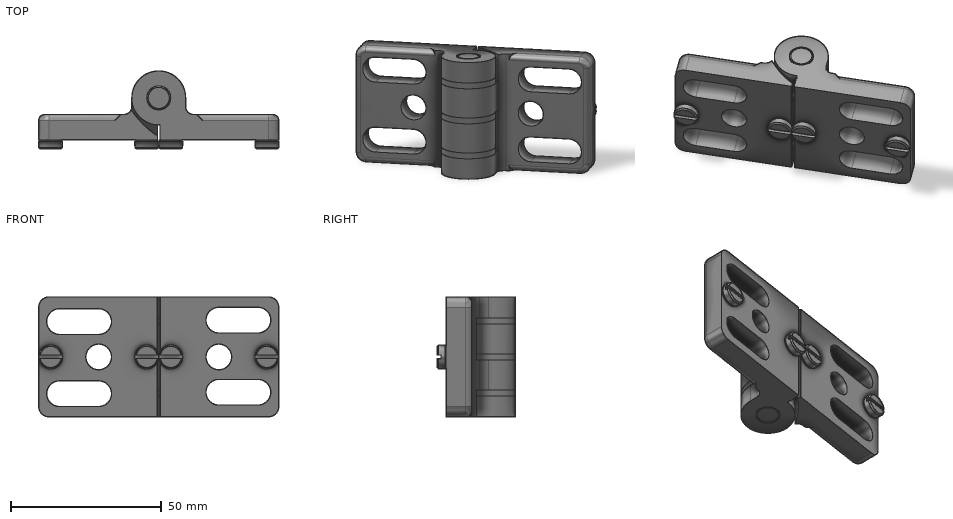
import cadquery as cq
import math

half_length = 40
height = 40
overall_depth = 26.0
leaf_thickness = 8.5
leaf_gap = 0.8
inner_x = -leaf_gap / 2
inner_edge_break = 0.2
corner_radius = 3.5
back_edge_radius = 2.0
rounding_end_x = -12.6

axis_y = 14.0
knuckle_diameter = 18.0
knuckle_radius = knuckle_diameter / 2
knuckle_length = 10.0
washer_thickness = 2.0
root_radius = 2.6
pin_diameter = 8
pin_chamfer = 0.5

mid_washer_top = washer_thickness / 2
outer_washer_bottom = mid_washer_top + knuckle_length
outer_washer_top = outer_washer_bottom + washer_thickness
left_knuckle_spans = [(mid_washer_top, outer_washer_bottom), (-height / 2, -outer_washer_top)]
left_recess_spans = [(outer_washer_bottom, height / 2), (-outer_washer_top, mid_washer_top)]

recess_start = (-9.6, 10.6)
recess_middle = (-4.6, 4.6)
recess_end = (inner_x, 1.3)

hole_diameter = 8.5
hole_x = -20
slot_travel = 13.0
slot_z = 12
slot_shift_z = -0.2

screw_diameter = 8
screw_neck_diameter = 7.5
screw_neck_height = 0.5
screw_height = overall_depth - axis_y - knuckle_radius
screw_chamfer = 0.5
screw_slot_width = 1.2
screw_slot_depth = 1.2
screw_inset = screw_diameter / 2


def extrude_span(sketch, bottom, top):
    """Extrude an outline drawn in XY from Z = bottom to Z = top."""
    return sketch.extrude(top - bottom).translate((0, 0, bottom))


def disc(diameter, bottom, top):
    """Cylinder on the hinge axis."""
    return extrude_span(cq.Workplane("XY").center(0, axis_y).circle(diameter / 2), bottom, top)


def make_plate():
    """Left plate with rounded outer corners and rounded back edges."""
    plate = (
        cq.Workplane("XY")
        .box(half_length + inner_x, leaf_thickness, height, centered=(False, False, True))
        .translate((-half_length, 0, 0))
        .edges("|Y and <X").fillet(corner_radius)
        .faces(">Y").edges("not >X").fillet(back_edge_radius)
    )
    square_part = (
        cq.Workplane("XY")
        .moveTo(inner_x, 0)
        .lineTo(inner_x, leaf_thickness)
        .lineTo(rounding_end_x, leaf_thickness)
        .lineTo(rounding_end_x - back_edge_radius, leaf_thickness - back_edge_radius)
        .lineTo(rounding_end_x - back_edge_radius, 0)
        .close()
    )
    return plate.union(extrude_span(square_part, -height / 2, height / 2))


def make_root():
    """Full-height web that blends the back of the plate into the knuckles."""
    blend_offset = root_radius * (1 - math.sqrt(0.5))
    blend_middle = (-knuckle_radius - blend_offset, leaf_thickness + blend_offset)
    outline = (
        cq.Workplane("XY")
        .moveTo(inner_x, 0)
        .lineTo(inner_x, axis_y)
        .lineTo(-knuckle_radius, axis_y)
        .lineTo(-knuckle_radius, leaf_thickness + root_radius)
        .threePointArc(blend_middle, (-knuckle_radius - root_radius, leaf_thickness))
        .lineTo(-knuckle_radius - root_radius, 0)
        .close()
    )
    return extrude_span(outline, -height / 2, height / 2)


def make_recess(bottom, top):
    """Space cleared for one of the other leaf's knuckles and its washers."""
    far_x = knuckle_radius
    far_y = axis_y + knuckle_radius
    outline = (
        cq.Workplane("XY")
        .moveTo(*recess_start)
        .threePointArc(recess_middle, recess_end)
        .lineTo(far_x, recess_end[1])
        .lineTo(far_x, far_y)
        .lineTo(recess_start[0], far_y)
        .close()
    )
    return extrude_span(outline, bottom, top)


def make_leaf():
    """Left hinge leaf: plate, root, two knuckles, pin bore, hole and slots."""
    leaf = make_plate().union(make_root())
    leaf = leaf.edges("|Z and >X and <Y").chamfer(inner_edge_break)
    for bottom, top in left_recess_spans:
        leaf = leaf.cut(make_recess(bottom, top))
    for bottom, top in left_knuckle_spans:
        leaf = leaf.union(disc(knuckle_diameter, bottom, top))
    leaf = leaf.cut(disc(pin_diameter, -height / 2, height / 2))

    slot_centres = [(hole_x - slot_travel / 2, slot_shift_z + side * slot_z) for side in (-1, 1)]
    openings = (
        cq.Workplane("XZ")
        .pushPoints(slot_centres)
        .slot2D(slot_travel + hole_diameter, hole_diameter)
        .extrude(-leaf_thickness)
    )
    hole = cq.Workplane("XZ").center(hole_x, 0).circle(hole_diameter / 2).extrude(-leaf_thickness)
    return leaf.cut(openings).cut(hole)


def make_pin():
    """Full-height hinge pin with both ends chamfered."""
    return disc(pin_diameter, -height / 2, height / 2).faces("|Z").edges().chamfer(pin_chamfer)


def make_washer(middle_z):
    """Spacer washer between two knuckles, as wide as they are."""
    bottom = middle_z - washer_thickness / 2
    top = middle_z + washer_thickness / 2
    return disc(knuckle_diameter, bottom, top).cut(disc(pin_diameter, bottom, top))


def make_screw(x):
    """Slotted head seated on the front face, with a narrower neck against the leaf."""
    neck = cq.Workplane("XZ").circle(screw_neck_diameter / 2).extrude(screw_neck_height)
    head = (
        cq.Workplane("XZ", origin=(0, -screw_neck_height, 0))
        .circle(screw_diameter / 2)
        .extrude(screw_height - screw_neck_height)
        .faces("<Y").edges().chamfer(screw_chamfer)
    )
    driver_slot = (
        cq.Workplane("XZ", origin=(0, screw_slot_depth - screw_height, 0))
        .rect(screw_diameter, screw_slot_width)
        .extrude(screw_slot_depth)
    )
    return neck.union(head).cut(driver_slot).translate((x, 0, 0))


left_leaf = make_leaf()
right_leaf = left_leaf.rotate((0, 0, 0), (0, 1, 0), 180)
pin = make_pin()

washer_pitch = knuckle_length + washer_thickness
washers = [make_washer(step * washer_pitch) for step in (-1, 0, 1)]

screw_positions = [
    side * distance for side in (-1, 1) for distance in (screw_inset, half_length - screw_inset)
]
screws = [make_screw(x) for x in screw_positions]

result = cq.Compound.makeCompound(
    [body.val() for body in (left_leaf, right_leaf, pin, *washers, *screws)]
)